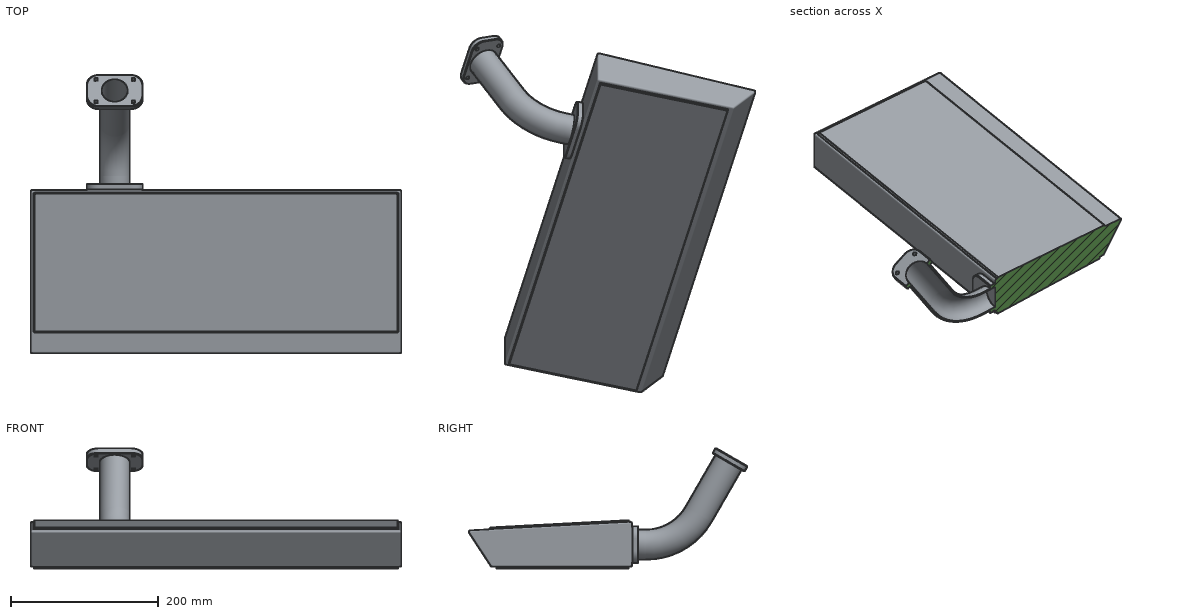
import cadquery as cq
import math

overall_width = 501.6
overall_depth = 376.54
overall_height = 163.29

pipe_diameter = 41.0
bore_diameter = 35.0
bend_angle = 60.0
bend_radius = 82.0
lower_straight = 10.3
upper_straight = 89.3
pipe_x = -137.0

flange_width = 76.0
flange_height = 50.0
flange_thickness = 8.5
flange_corner_radius = 16.0
flange_edge_chamfer = 1.0
bolt_hole_diameter = 5.0
bolt_spacing_wide = 50.5
bolt_spacing_high = 35.0

top_slope = 3.0
tip_height = 52.2
tip_overhang = 32.3
housing_edge_radius = 2.5

base_thickness = 3.0
base_inset = 4.5
base_front_inset = 7.0
base_edge_chamfer = 1.0
lid_thickness = 3.0
lid_side_inset = 3.8
lid_back_inset = 3.3
lid_front_setback = 28.0
lid_edge_chamfer = 2.0
lid_sink = 0.5
lid_corner_radius = 3.0

bend = math.radians(bend_angle)
bend_end_y = bend_radius * math.sin(bend)
bend_end_z = bend_radius * (1 - math.cos(bend))
chamfer_loss = flange_edge_chamfer * math.cos(bend)
elbow_reach_y = (
    bend_end_y + upper_straight * math.cos(bend) + flange_height / 2 * math.sin(bend) - chamfer_loss
)
elbow_reach_z = (
    bend_end_z + upper_straight * math.sin(bend) + flange_height / 2 * math.cos(bend) - chamfer_loss
)

pipe_z = overall_height - elbow_reach_z
housing_depth = overall_depth - elbow_reach_y - lower_straight - flange_thickness
bend_start_y = housing_depth + flange_thickness + lower_straight

slope = math.radians(top_slope)
front_angle = math.atan2(tip_height - base_thickness, tip_overhang)
half_tip_angle = (slope + front_angle) / 2
tip_bisector_angle = (slope - front_angle) / 2
tip_rounding_loss = housing_edge_radius * (math.cos(tip_bisector_angle) / math.sin(half_tip_angle) - 1)
sharp_tip_y = -tip_rounding_loss
base_corner_y = sharp_tip_y + tip_overhang


def top_height(y):
    """Height of the sloping housing top at depth y."""
    return tip_height + (y - sharp_tip_y) * math.tan(slope)


def make_housing():
    """Wedge-shaped box with a forward-leaning front and rounded edges."""
    profile = [
        (sharp_tip_y, tip_height),
        (base_corner_y, base_thickness),
        (housing_depth, base_thickness),
        (housing_depth, top_height(housing_depth)),
    ]
    box = cq.Workplane("YZ").polyline(profile).close().extrude(overall_width / 2, both=True)
    return box.edges().fillet(housing_edge_radius)


def make_base_plate():
    """Plate under the housing, running into it to join the two."""
    front = base_corner_y + base_front_inset
    back = housing_depth - base_inset
    return (
        cq.Workplane("XY")
        .center(0, (front + back) / 2)
        .rect(overall_width - 2 * base_inset, back - front)
        .extrude(2 * base_thickness)
        .faces("<Z")
        .chamfer(base_edge_chamfer)
    )


def make_lid():
    """Sloping plate on top of the housing with a chamfered rim, sunk slightly into it."""
    length = (housing_depth - lid_back_inset - lid_front_setback) / math.cos(slope)
    plane = cq.Plane(
        origin=(0, lid_front_setback, top_height(lid_front_setback) - lid_sink),
        xDir=(1, 0, 0),
        normal=(0, -math.sin(slope), math.cos(slope)),
    )
    return (
        cq.Workplane(plane)
        .center(0, length / 2)
        .rect(overall_width - 2 * lid_side_inset, length)
        .extrude(lid_thickness)
        .edges(cq.selectors.ParallelDirSelector(plane.zDir))
        .fillet(lid_corner_radius)
        .faces(cq.selectors.DirectionMinMaxSelector(plane.zDir))
        .chamfer(lid_edge_chamfer)
    )


def make_flange(plane):
    """Rounded rectangular flange, chamfered on both faces, rising from the plane along its normal."""
    return (
        cq.Workplane(plane)
        .rect(flange_width, flange_height)
        .extrude(flange_thickness)
        .edges(cq.selectors.ParallelDirSelector(plane.zDir))
        .fillet(flange_corner_radius)
        .faces(cq.selectors.ParallelDirSelector(plane.zDir))
        .chamfer(flange_edge_chamfer)
    )


def make_pipe(diameter):
    """Solid round bar along the pipe axis, from the housing to the upper flange face."""
    end_y = bend_start_y + bend_end_y
    end_z = pipe_z + bend_end_z
    middle_y = bend_start_y + bend_radius * math.sin(bend / 2)
    middle_z = pipe_z + bend_radius * (1 - math.cos(bend / 2))
    axis = (
        cq.Workplane("YZ", origin=(pipe_x, 0, 0))
        .moveTo(housing_depth, pipe_z)
        .lineTo(bend_start_y, pipe_z)
        .threePointArc((middle_y, middle_z), (end_y, end_z))
        .lineTo(end_y + upper_straight * math.cos(bend), end_z + upper_straight * math.sin(bend))
    )
    return cq.Workplane("XZ", origin=(pipe_x, housing_depth, pipe_z)).circle(diameter / 2).sweep(axis)


def make_bracket():
    """Bent pipe with a flange at each end, bored through, and bolt holes in the upper flange."""
    lower_plane = cq.Plane(origin=(pipe_x, housing_depth, pipe_z), xDir=(1, 0, 0), normal=(0, 1, 0))
    seat_distance = upper_straight - flange_thickness
    seat_y = bend_start_y + bend_end_y + seat_distance * math.cos(bend)
    seat_z = pipe_z + bend_end_z + seat_distance * math.sin(bend)
    upper_plane = cq.Plane(
        origin=(pipe_x, seat_y, seat_z),
        xDir=(1, 0, 0),
        normal=(0, math.cos(bend), math.sin(bend)),
    )
    bolt_holes = (
        cq.Workplane(upper_plane)
        .rarray(bolt_spacing_wide, bolt_spacing_high, 2, 2)
        .circle(bolt_hole_diameter / 2)
        .extrude(flange_thickness)
    )
    return (
        make_pipe(pipe_diameter)
        .union(make_flange(lower_plane))
        .union(make_flange(upper_plane))
        .cut(make_pipe(bore_diameter))
        .cut(bolt_holes)
    )


result = make_housing().union(make_base_plate()).union(make_lid()).union(make_bracket())